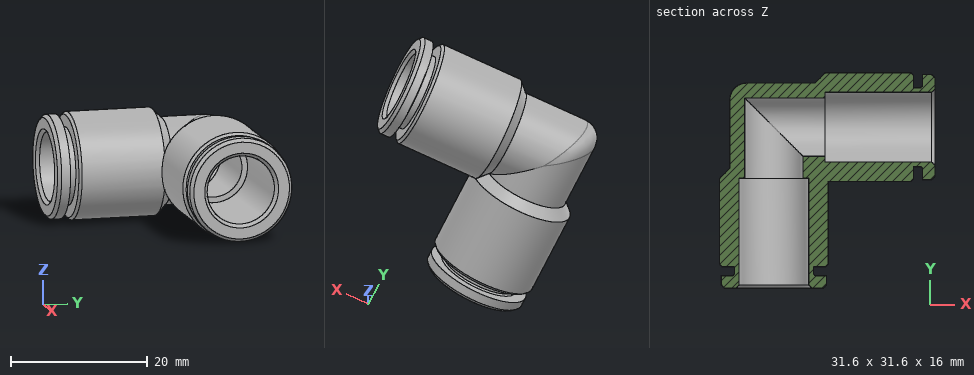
import cadquery as cq
import math

pipe_radius = 6.5
corner_fillet = 2.5
fillet_overlap = 0.5

body_radius = 8.0
shoulder_start = 6.0
shoulder_length = body_radius - pipe_radius
shoulder_end = shoulder_start + shoulder_length
body_end = 20.5
body_chamfer = 0.4

sleeve_radius = 5.82
sleeve_flare = 0.25
ring_radius = 7.75
ring_start = 21.8
ring_end = 23.65
ring_chamfer = 0.5

passage_radius = 4.25
socket_radius = 5.1
socket_floor = shoulder_end
socket_chamfer = 0.5

spine_height = pipe_radius - corner_fillet
spine_reach = spine_height * math.sqrt(2)

mitre_reach = 4 * body_radius


def revolve_along_x(profile_points):
    """Solid of revolution about X from (station, radius) points."""
    return cq.Workplane("XZ").polyline(profile_points).close().revolve(360, (0, 0, 0), (1, 0, 0))


def turn_to_second_leg(leg):
    """Mirror a leg along +X in the mitre plane y = -x, giving the leg along -Y."""
    return leg.rotate((0, 0, 0), (0, 0, 1), 90).mirror("XZ")


def both_legs(leg):
    """Join a leg shape along +X with its twin along -Y."""
    return leg.union(turn_to_second_leg(leg))


def mitred_rod(radius):
    """Rod along X from the mitre plane y = -x to the end of the shoulder."""
    rod = cq.Workplane("YZ").workplane(offset=-2 * radius).circle(radius).extrude(2 * radius + shoulder_end)
    keep = (
        cq.Workplane("XY")
        .polyline([(-mitre_reach, mitre_reach), (mitre_reach, mitre_reach), (mitre_reach, -mitre_reach)])
        .close()
        .extrude(body_radius, both=True)
    )
    return rod.intersect(keep)


def rounded_pipe():
    """Mitred elbow pipe with its outer corner rolled over at corner_fillet."""
    pipe = both_legs(mitred_rod(pipe_radius))

    corner_wedge = (
        cq.Workplane("XY")
        .polyline([
            (0, 0),
            (-2 * spine_height, 2 * pipe_radius),
            (-2 * pipe_radius, 2 * pipe_radius),
            (-2 * pipe_radius, 2 * spine_height),
        ])
        .close()
        .extrude(body_radius, both=True)
    )
    mitre_plane = cq.Plane(origin=(0, 0, 0), xDir=(-1, 1, 0), normal=(1, 1, 0))
    core = (
        cq.Workplane(mitre_plane)
        .ellipse(spine_reach, spine_height)
        .extrude(body_radius, both=True)
        .intersect(pipe)
        .intersect(corner_wedge)
    )
    spine = cq.Workplane(mitre_plane).ellipseArc(spine_reach, spine_height, -90, 90, startAtCurrent=False)
    start_plane = cq.Plane(origin=(0, 0, -spine_height), xDir=(1, 1, 0), normal=(-1, 1, 0))
    rolled_edge = (
        cq.Workplane(start_plane)
        .moveTo(-corner_fillet, 0)
        .threePointArc((0, corner_fillet), (corner_fillet, 0))
        .lineTo(corner_fillet, -fillet_overlap)
        .lineTo(-corner_fillet, -fillet_overlap)
        .close()
        .sweep(spine)
    )
    return pipe.cut(corner_wedge).union(core).union(rolled_edge.intersect(corner_wedge))


def leg_outside():
    """Shoulder, body, sleeve and release ring of one leg."""
    return revolve_along_x([
        (shoulder_start, 0),
        (shoulder_start, pipe_radius),
        (shoulder_end, body_radius),
        (body_end - body_chamfer, body_radius),
        (body_end, body_radius - body_chamfer),
        (body_end, sleeve_radius),
        (ring_start - sleeve_flare, sleeve_radius),
        (ring_start, sleeve_radius + sleeve_flare),
        (ring_start, ring_radius),
        (ring_end - ring_chamfer, ring_radius),
        (ring_end, ring_radius - ring_chamfer),
        (ring_end, 0),
    ])


def socket():
    """Tube socket in one leg, flared at the mouth."""
    return revolve_along_x([
        (socket_floor, 0),
        (socket_floor, socket_radius),
        (ring_end - socket_chamfer, socket_radius),
        (ring_end, socket_radius + socket_chamfer),
        (ring_end, 0),
    ])


result = (
    rounded_pipe()
    .union(both_legs(leg_outside()))
    .cut(both_legs(mitred_rod(passage_radius)))
    .cut(both_legs(socket()))
)